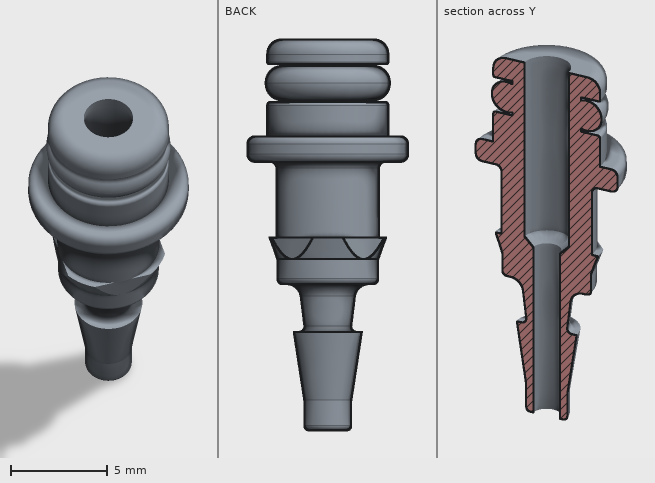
import cadquery as cq

total_height = 20.32
cap_bottom = 19.05
body_top = 17.07
flange_top = 15.28
flange_bottom = 13.95
ledge_top = 10.02
ledge_bottom = 8.9
collar_bottom = 7.6
barb_top = 5.12
barb_bottom = 1.56

body_radius = 3.15
groove_radius = 2.03
flange_radius = 8.35 / 2
stem_radius = 2.66
ledge_radius = 3.03
collar_radius = 2.62
neck_top_radius = 1.48
neck_bottom_radius = 1.18
barb_radius = 1.77
tip_radius = 1.22

ring_section_radius = 0.9
ring_outer_radius = 3.23

cap_round = 0.77
cap_lower_round = 0.12
body_round = 0.18
flange_round = 0.4
stem_fillet = 0.33
collar_round = 0.3
neck_top_fillet = 0.71
neck_bottom_fillet = 0.26
tip_round = 0.26

bore_radius = 0.77
upper_bore_radius = 1.28
upper_bore_depth = 10.15
bore_cone_height = 0.5

flat_angle = 45.0
flat_distance = collar_radius


def cylinder(radius, bottom, top):
    return cq.Workplane("XY").workplane(offset=bottom).circle(radius).extrude(top - bottom)


def revolve_profile(points):
    return cq.Workplane("XZ").polyline(points).close().revolve(360, (0, 0, 0), (0, 1, 0))


def cone(bottom_radius, top_radius, bottom, top):
    return revolve_profile([(0, bottom), (bottom_radius, bottom), (top_radius, top), (0, top)])


def fillet_circle(solid, radius, height, fillet_radius):
    """Round the circular edge of the given radius at the given height."""
    tolerance = 0.002
    edge = cq.selectors.BoxSelector(
        (-radius - tolerance, -radius - tolerance, height - tolerance),
        (radius + tolerance, radius + tolerance, height + tolerance),
        boundingbox=True,
    )
    circles = solid.edges(edge).edges(cq.selectors.RadiusNthSelector(-1))
    return circles.fillet(fillet_radius)


def make_body():
    """Turned outer shape, from the cap down to the hose tip."""
    outline = [
        (0, total_height),
        (body_radius, total_height),
        (body_radius, cap_bottom),
        (groove_radius, cap_bottom),
        (groove_radius, body_top),
        (body_radius, body_top),
        (body_radius, flange_top),
        (flange_radius, flange_top),
        (flange_radius, flange_bottom),
        (stem_radius, flange_bottom),
        (stem_radius, ledge_top),
        (collar_radius, ledge_top),
        (collar_radius, collar_bottom),
        (neck_top_radius, collar_bottom),
        (neck_bottom_radius, barb_top),
        (barb_radius, barb_top),
        (tip_radius, barb_bottom),
        (tip_radius, 0),
        (0, 0),
    ]
    rounds = [
        (body_radius, total_height, cap_round),
        (body_radius, cap_bottom, cap_lower_round),
        (body_radius, body_top, body_round),
        (flange_radius, flange_top, flange_round),
        (flange_radius, flange_bottom, flange_round),
        (stem_radius, flange_bottom, stem_fillet),
        (collar_radius, collar_bottom, collar_round),
        (neck_top_radius, collar_bottom, neck_top_fillet),
        (neck_bottom_radius, barb_top, neck_bottom_fillet),
        (tip_radius, 0, tip_round),
    ]
    body = revolve_profile(outline)
    for radius, height, fillet_radius in rounds:
        body = fillet_circle(body, radius, height, fillet_radius)
    return body


def make_ledge():
    """Conical retaining ledge trimmed by four flats tangent to the collar."""
    ledge = cone(collar_radius, ledge_radius, ledge_bottom, ledge_top)
    square = (
        cq.Workplane("XY")
        .workplane(offset=ledge_bottom)
        .rect(2 * flat_distance, 2 * flat_distance)
        .extrude(ledge_top - ledge_bottom)
        .rotate((0, 0, 0), (0, 0, 1), flat_angle)
    )
    return ledge.intersect(square)


def make_ring():
    """Sealing ring seated in the groove."""
    ring_height = (cap_bottom + body_top) / 2
    ring_centre = ring_outer_radius - ring_section_radius
    section = cq.Workplane("XZ").center(ring_centre, ring_height).circle(ring_section_radius)
    return section.revolve(360, (-ring_centre, 0, 0), (-ring_centre, 1, 0))


def make_bore():
    """Stepped passage through the whole length."""
    upper_bottom = total_height - upper_bore_depth
    cone_bottom = upper_bottom - bore_cone_height
    passage = cylinder(bore_radius, 0, total_height)
    step = cone(bore_radius, upper_bore_radius, cone_bottom, upper_bottom)
    upper = cylinder(upper_bore_radius, upper_bottom, total_height)
    return passage.union(step).union(upper)


result = make_body().union(make_ledge()).union(make_ring()).cut(make_bore())